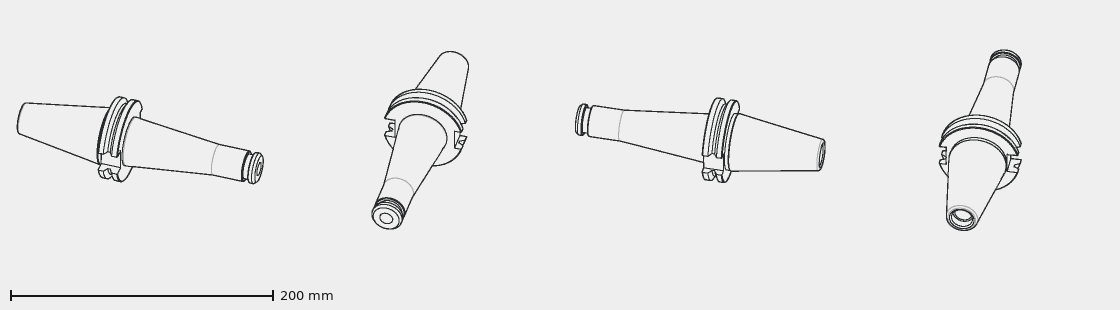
import cadquery as cq

length = 190.9

taper_tip_diameter = 24.0
taper_end_diameter = 44.7
taper_length = 68.0
taper_tip_fillet = 1.5
relief_start = 68.5
relief_diameter = 43.7

flange_start = 71.4
flange_end = 87.0
flange_diameter = 63.4
flange_chamfer = 0.5
groove_center = 79.0
groove_mouth_width = 6.7
groove_root_width = 2.1
groove_root_diameter = 55.7

slot_width = 16.8
slot_floor_plus_y = 25.0
slot_floor_minus_y = 22.3

collar_end = 88.0
collar_diameter = 38.2
cone_end = 156.5
nose_diameter = 24.0

nose_groove_start = 181.1
nose_groove_end = 185.5
nose_groove_diameter = 19.5
groove_edge_chamfer = 0.5
lip_chamfer_length = 2.1
lip_chamfer_depth = 1.7

countersink_diameter = 19.0
countersink_depth = 1.0
pilot_diameter = 16.2
pilot_depth = 7.0
middle_bore_diameter = 13.4
middle_bore_depth = 30.5
through_diameter = 10.1


def revolve_about_x(stations):
    """Revolve a profile of (x, diameter) stations, closed along the X axis."""
    outline = [(x, diameter / 2) for x, diameter in stations]
    outline = [(stations[0][0], 0)] + outline + [(stations[-1][0], 0)]
    return cq.Workplane("XY").polyline(outline).close().revolve(360, (0, 0, 0), (1, 0, 0))


def make_body():
    flange_edge_diameter = flange_diameter - 2 * flange_chamfer
    lip_diameter = nose_diameter - 2 * groove_edge_chamfer
    end_diameter = nose_diameter - 2 * lip_chamfer_depth
    body = revolve_about_x([
        (0, taper_tip_diameter),
        (taper_length, taper_end_diameter),
        (relief_start, relief_diameter),
        (flange_start, relief_diameter),
        (flange_start, flange_edge_diameter),
        (flange_start + flange_chamfer, flange_diameter),
        (groove_center - groove_mouth_width / 2, flange_diameter),
        (groove_center - groove_root_width / 2, groove_root_diameter),
        (groove_center + groove_root_width / 2, groove_root_diameter),
        (groove_center + groove_mouth_width / 2, flange_diameter),
        (flange_end - flange_chamfer, flange_diameter),
        (flange_end, flange_edge_diameter),
        (flange_end, collar_diameter),
        (collar_end, collar_diameter),
        (cone_end, nose_diameter),
        (nose_groove_start - groove_edge_chamfer, nose_diameter),
        (nose_groove_start, lip_diameter),
        (nose_groove_start, nose_groove_diameter),
        (nose_groove_end, nose_groove_diameter),
        (nose_groove_end, lip_diameter),
        (nose_groove_end + groove_edge_chamfer, nose_diameter),
        (length - lip_chamfer_length, nose_diameter),
        (length, end_diameter),
    ])
    return body.faces("<X").edges().fillet(taper_tip_fillet)


def make_bore():
    return revolve_about_x([
        (0, countersink_diameter),
        (countersink_depth, pilot_diameter),
        (pilot_depth, pilot_diameter),
        (pilot_depth, middle_bore_diameter),
        (middle_bore_depth, middle_bore_diameter),
        (middle_bore_depth, through_diameter),
        (length, through_diameter),
    ])


def make_drive_slot(side, floor):
    """Slot on the given Y side (+1 or -1), open outward from its flat floor."""
    depth = flange_diameter / 2
    return cq.Workplane("XY").box(flange_end - flange_start, depth, slot_width).translate(
        ((flange_start + flange_end) / 2, side * (floor + depth / 2), 0)
    )


result = make_body().cut(make_bore())
for side, floor in ((1, slot_floor_plus_y), (-1, slot_floor_minus_y)):
    result = result.cut(make_drive_slot(side, floor))